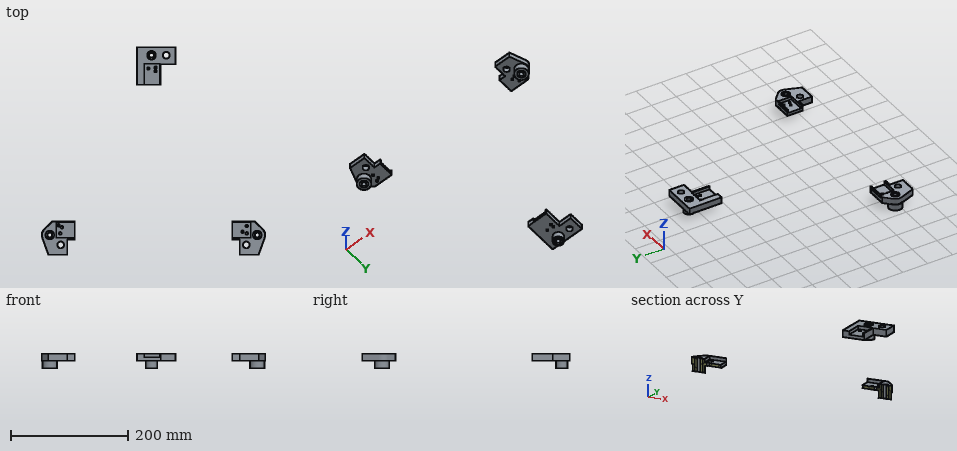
import cadquery as cq
import math

PLATE_THICKNESS = 12.2
TOTAL_HEIGHT = 25.0
BOSS_HEIGHT = TOTAL_HEIGHT - PLATE_THICKNESS
POCKET_DEPTH = PLATE_THICKNESS / 2

BUSHING_DIAMETER = 15.0
BUSHING_BORE = 8.0
MOUNT_HOLE_DIAMETER = 11.0
SMALL_HOLE_DIAMETER = 4.0

OVERALL_LENGTH = 381.0
OVERALL_DEPTH = 354.5

SIDE_WIDTH = 56.5
SIDE_DEPTH = 57.0
SIDE_NOTCH_X = 44.0
SIDE_NOTCH_Y = 26.3
SIDE_FRONT_CORNER_X = 11.5
SIDE_BACK_CORNER_X = 18.0
SIDE_ROUND_RADIUS = 13.7
SIDE_BUSHING = (SIDE_ROUND_RADIUS, 34.0)
SIDE_BOSS_DIAMETER = 25.0
SIDE_MOUNT_HOLE = (32.5, 17.0)
SIDE_POCKET_X = 25.0
SIDE_POCKET_Y = 29.7
SIDE_BACK_WALL = 1.5
LEFT_SMALL_HOLES = [(28.5, 50.5), (34.3, 47.2), (31.5, 37.0)]
RIGHT_SMALL_HOLES = [(31.5, 49.0), (39.0, 39.5), (31.5, 37.0)]

REAR_X = -28.2
REAR_WIDTH = 66.0
REAR_DEPTH = 64.5
REAR_ARM_WIDTH = 40.8
REAR_BAR_DEPTH = 29.7
REAR_BUSHING = (24.8, 14.0)
REAR_BOSS_DIAMETER = 20.0
REAR_MOUNT_HOLE = (50.0, 14.0)
REAR_POCKET_LEFT = 12.2
REAR_POCKET_RIGHT = 38.5
REAR_POCKET_BACK = 28.5
REAR_SMALL_HOLES = [(19.5, 36.5), (31.5, 35.0), (31.5, 41.0)]


def tangent_point(corner, side):
    """Point where a line from corner touches the rounded end; side is +1 or -1."""
    dx = corner[0] - SIDE_BUSHING[0]
    dy = corner[1] - SIDE_BUSHING[1]
    angle = math.atan2(dy, dx) + side * math.acos(SIDE_ROUND_RADIUS / math.hypot(dx, dy))
    return (
        SIDE_BUSHING[0] + SIDE_ROUND_RADIUS * math.cos(angle),
        SIDE_BUSHING[1] + SIDE_ROUND_RADIUS * math.sin(angle),
    )


def cylinder(center, diameter, bottom, top):
    return cq.Workplane("XY", origin=(*center, bottom)).circle(diameter / 2).extrude(top - bottom)


def pocket(corner, opposite):
    """Rectangular cutter that opens through the plate top."""
    floor = PLATE_THICKNESS - POCKET_DEPTH
    size = (opposite[0] - corner[0], opposite[1] - corner[1], POCKET_DEPTH)
    return cq.Workplane("XY", origin=(*corner, floor)).box(*size, centered=False)


def finish_plate(blank, pocket_cutter, bushing, boss_diameter, mount_hole, small_holes):
    """Add the boss under the plate, then cut the pocket and the through holes."""
    plate = blank.union(cylinder(bushing, boss_diameter, -BOSS_HEIGHT, 0))
    plate = plate.cut(pocket_cutter)
    plate = plate.cut(cylinder(bushing, BUSHING_DIAMETER, -BOSS_HEIGHT, PLATE_THICKNESS))
    plate = plate.cut(cylinder(mount_hole, MOUNT_HOLE_DIAMETER, 0, PLATE_THICKNESS))
    for center in small_holes:
        plate = plate.cut(cylinder(center, SMALL_HOLE_DIAMETER, 0, PLATE_THICKNESS))
    return plate


def make_side_plate(small_holes):
    """Side plate with its rounded outer end at x = 0, reaching toward +X."""
    front_corner = (SIDE_FRONT_CORNER_X, 0)
    back_corner = (SIDE_BACK_CORNER_X, SIDE_DEPTH)
    outer_end = (SIDE_BUSHING[0] - SIDE_ROUND_RADIUS, SIDE_BUSHING[1])
    blank = (
        cq.Workplane("XY")
        .moveTo(*front_corner)
        .lineTo(SIDE_NOTCH_X, 0)
        .lineTo(SIDE_NOTCH_X, SIDE_NOTCH_Y)
        .lineTo(SIDE_WIDTH, SIDE_NOTCH_Y)
        .lineTo(SIDE_WIDTH, SIDE_DEPTH)
        .lineTo(*back_corner)
        .lineTo(*tangent_point(back_corner, 1))
        .threePointArc(outer_end, tangent_point(front_corner, -1))
        .close()
        .extrude(PLATE_THICKNESS)
    )
    recess = pocket((SIDE_POCKET_X, SIDE_POCKET_Y), (SIDE_WIDTH, SIDE_DEPTH - SIDE_BACK_WALL))
    return finish_plate(blank, recess, SIDE_BUSHING, SIDE_BOSS_DIAMETER, SIDE_MOUNT_HOLE, small_holes)


def rear_point(point):
    """Place a point given from the left and back edges of the rear plate."""
    return (REAR_X + point[0], OVERALL_DEPTH - point[1])


def make_rear_plate():
    """L-shaped plate with a pocket that opens at the front of its arm."""
    outline = [
        (0, 0),
        (REAR_WIDTH, 0),
        (REAR_WIDTH, REAR_BAR_DEPTH),
        (REAR_ARM_WIDTH, REAR_BAR_DEPTH),
        (REAR_ARM_WIDTH, REAR_DEPTH),
        (0, REAR_DEPTH),
    ]
    blank = cq.Workplane("XY").polyline([rear_point(p) for p in outline]).close().extrude(PLATE_THICKNESS)
    recess = pocket(
        rear_point((REAR_POCKET_LEFT, REAR_DEPTH)),
        rear_point((REAR_POCKET_RIGHT, REAR_POCKET_BACK)),
    )
    return finish_plate(
        blank,
        recess,
        rear_point(REAR_BUSHING),
        REAR_BOSS_DIAMETER,
        rear_point(REAR_MOUNT_HOLE),
        [rear_point(p) for p in REAR_SMALL_HOLES],
    )


def make_bushing(center):
    """Plain sleeve, flush with the plate top and the boss end."""
    sleeve = cylinder(center, BUSHING_DIAMETER, -BOSS_HEIGHT, PLATE_THICKNESS)
    return sleeve.cut(cylinder(center, BUSHING_BORE, -BOSS_HEIGHT, PLATE_THICKNESS))


half_length = OVERALL_LENGTH / 2
left_plate = make_side_plate(LEFT_SMALL_HOLES).translate((-half_length, 0, 0))
right_plate = make_side_plate(RIGHT_SMALL_HOLES).mirror("YZ").translate((half_length, 0, 0))
rear_plate = make_rear_plate()

bushing_x = half_length - SIDE_BUSHING[0]
bushing_centers = [
    (-bushing_x, SIDE_BUSHING[1]),
    (bushing_x, SIDE_BUSHING[1]),
    rear_point(REAR_BUSHING),
]
bushings = [make_bushing(center).val() for center in bushing_centers]

result = cq.Compound.makeCompound([left_plate.val(), right_plate.val(), rear_plate.val(), *bushings])